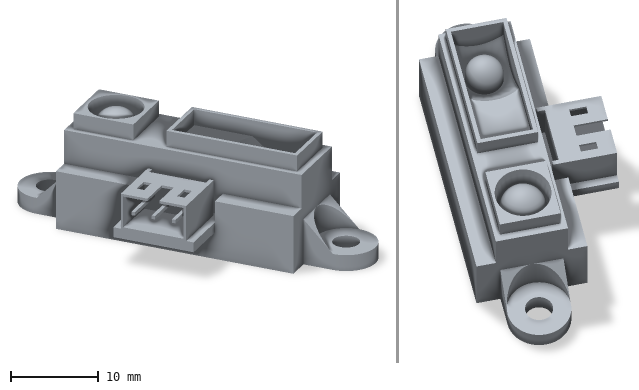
import cadquery as cq

TOTAL_LENGTH = 44.5
TOTAL_HEIGHT = 13.5
TOTAL_DEPTH = 18.9

LUG_RADIUS = 3.7
LUG_THICKNESS = 2.0
LUG_HOLE_DIAMETER = 3.2
LUG_CENTRE_X = TOTAL_LENGTH / 2 - LUG_RADIUS

BODY_LENGTH = TOTAL_LENGTH - 4 * LUG_RADIUS
BODY_DEPTH = 13.0
SHOULDER_Z = 7.25
BLOCK_DEPTH = 8.45
BLOCK_TOP_Z = 11.5

TOWER_DEPTH = 7.1
TOWER_END_X = 14.0
EMITTER_LENGTH = 7.5
RECEIVER_LENGTH = 16.38
RECEIVER_WALL = 0.5

EMITTER_X = -TOWER_END_X + EMITTER_LENGTH / 2
EMITTER_BORE_RADIUS = 3.25
EMITTER_LENS_RADIUS = 2.7
EMITTER_LENS_TIP_Z = TOTAL_HEIGHT - 0.15
EMITTER_BORE_DEPTH = TOTAL_HEIGHT - EMITTER_LENS_TIP_Z + EMITTER_LENS_RADIUS

RECEIVER_X = 9.85
RECEIVER_PIT_RADIUS = 5.35
RECEIVER_LENS_RADIUS = 2.22
RECEIVER_PIT_DEPTH = RECEIVER_PIT_RADIUS - RECEIVER_LENS_RADIUS

STEM_EMBEDMENT = 0.45

FRONT_Y = BODY_DEPTH / 2 - TOTAL_DEPTH
BLOCK_FRONT_Y = -BLOCK_DEPTH / 2
PLATE_WIDTH = 10.05
PLATE_BOTTOM_Z = 3.35
PLATE_TOP_Z = 4.6

HOUSING_WIDTH = 8.2
HOUSING_TOP_Z = 9.0
HOUSING_WALL = 0.3
HOUSING_FLOOR = 0.22
SOCKET_SIDE_TAPER = 0.15
HOUSING_LEFT_LENGTH = 7.5
HOUSING_RIGHT_LENGTH = 7.65
HOUSING_FIN = 0.55
HOUSING_BACK_LENGTH = 6.7
SOCKET_DEPTH = 5.6

PIN_PITCH = 2.55
PIN_SIZE = 0.45
PIN_Z = 6.75
WINDOW_WIDTH = 0.95
WINDOW_NEAR = 2.0
WINDOW_FAR = 4.0
SLOT_WIDTH = 1.45


def box(x_range, y_range, z_range):
    """Box between the given limits on each axis."""
    lengths = [high - low for low, high in (x_range, y_range, z_range)]
    corner = (x_range[0], y_range[0], z_range[0])
    return cq.Workplane("XY").box(*lengths, centered=False).translate(corner)


def centred(width):
    """Limits of a stretch of the given width centred on zero."""
    return (-width / 2, width / 2)


def lug():
    """Right-hand ear with a 45 degree wedge to the body, cleared by a cylinder above the ear."""
    wall_x = LUG_CENTRE_X - LUG_RADIUS
    wedge = (
        cq.Workplane("XZ")
        .moveTo(wall_x, 0)
        .lineTo(LUG_CENTRE_X, 0)
        .lineTo(LUG_CENTRE_X, LUG_THICKNESS)
        .lineTo(wall_x, LUG_THICKNESS + LUG_RADIUS)
        .close()
        .extrude(LUG_RADIUS, both=True)
    )
    centre = cq.Workplane("XY").center(LUG_CENTRE_X, 0)
    ear = centre.circle(LUG_RADIUS).extrude(LUG_THICKNESS)
    clearance = centre.workplane(offset=LUG_THICKNESS).circle(LUG_RADIUS).extrude(LUG_RADIUS)
    hole = centre.circle(LUG_HOLE_DIAMETER / 2).extrude(LUG_THICKNESS)
    return wedge.cut(clearance).union(ear).cut(hole)


def tapered_bore(x, top_z, top_radius, bottom_radius, depth):
    """Conical recess narrowing downwards from the given level."""
    cone = cq.Solid.makeCone(bottom_radius, top_radius, depth, pnt=(x, 0, top_z - depth))
    return cq.Workplane(cone)


def lens(x, radius, tip_z, foot_z):
    """Hemispherical dome on a round stem."""
    dome_z = tip_z - radius
    stem = cq.Workplane("XY", origin=(x, 0, foot_z)).circle(radius).extrude(dome_z - foot_z)
    dome = cq.Workplane("XY", origin=(x, 0, dome_z)).sphere(radius)
    return stem.union(dome)


def body():
    lower = box(centred(BODY_LENGTH), centred(BODY_DEPTH), (0, SHOULDER_Z))
    block = box(centred(BODY_LENGTH), centred(BLOCK_DEPTH), (0, BLOCK_TOP_Z))
    notch = box(centred(PLATE_WIDTH), (-BODY_DEPTH / 2, BLOCK_FRONT_Y), (PLATE_BOTTOM_Z, SHOULDER_Z))
    return lower.cut(notch).union(block)


def add_emitter(part):
    tower_x = (-TOWER_END_X, -TOWER_END_X + EMITTER_LENGTH)
    tower = box(tower_x, centred(TOWER_DEPTH), (BLOCK_TOP_Z, TOTAL_HEIGHT))
    bore = tapered_bore(
        EMITTER_X, TOTAL_HEIGHT, EMITTER_BORE_RADIUS, EMITTER_LENS_RADIUS, EMITTER_BORE_DEPTH
    )
    foot_z = TOTAL_HEIGHT - EMITTER_BORE_DEPTH - STEM_EMBEDMENT
    dome = lens(EMITTER_X, EMITTER_LENS_RADIUS, EMITTER_LENS_TIP_Z, foot_z)
    return part.union(tower).cut(bore).union(dome)


def add_receiver(part):
    start_x = TOWER_END_X - RECEIVER_LENGTH
    tower = box((start_x, TOWER_END_X), centred(TOWER_DEPTH), (BLOCK_TOP_Z, TOTAL_HEIGHT))
    inner_x = (start_x + RECEIVER_WALL, TOWER_END_X - RECEIVER_WALL)
    inner_y = centred(TOWER_DEPTH - 2 * RECEIVER_WALL)
    tray = box(inner_x, inner_y, (BLOCK_TOP_Z, TOTAL_HEIGHT))
    pit = tapered_bore(
        RECEIVER_X, BLOCK_TOP_Z, RECEIVER_PIT_RADIUS, RECEIVER_LENS_RADIUS, RECEIVER_PIT_DEPTH
    )
    pit = pit.intersect(box(inner_x, inner_y, (0, BLOCK_TOP_Z)))
    foot_z = BLOCK_TOP_Z - RECEIVER_PIT_DEPTH - STEM_EMBEDMENT
    dome = lens(RECEIVER_X, RECEIVER_LENS_RADIUS, BLOCK_TOP_Z, foot_z)
    return part.union(tower).cut(tray).cut(pit).union(dome)


def socket():
    """Opening of the housing, its side walls closing in slightly towards the back."""
    front_half = HOUSING_WIDTH / 2 - HOUSING_WALL
    back_half = front_half - SOCKET_SIDE_TAPER
    back_y = FRONT_Y + SOCKET_DEPTH
    floor_z = PLATE_TOP_Z + HOUSING_FLOOR
    outline = [(-front_half, FRONT_Y), (front_half, FRONT_Y), (back_half, back_y), (-back_half, back_y)]
    floor = cq.Workplane("XY", origin=(0, 0, floor_z))
    return floor.polyline(outline).close().extrude(HOUSING_TOP_Z - HOUSING_WALL - floor_z)


def connector():
    plate = box(centred(PLATE_WIDTH), (FRONT_Y, BLOCK_FRONT_Y), (PLATE_BOTTOM_Z, PLATE_TOP_Z))

    height = (PLATE_TOP_Z, HOUSING_TOP_Z)
    half_width = HOUSING_WIDTH / 2
    shell = box(centred(HOUSING_WIDTH), (FRONT_Y, FRONT_Y + HOUSING_BACK_LENGTH), height)
    left_x = (-half_width, -half_width + HOUSING_FIN)
    right_x = (half_width - HOUSING_FIN, half_width)
    for fin_x, length in ((left_x, HOUSING_LEFT_LENGTH), (right_x, HOUSING_RIGHT_LENGTH)):
        shell = shell.union(box(fin_x, (FRONT_Y, FRONT_Y + length), height))

    shell = shell.cut(socket())

    roof_z = (HOUSING_TOP_Z - HOUSING_WALL, HOUSING_TOP_Z)
    shell = shell.cut(box(centred(SLOT_WIDTH), (FRONT_Y, FRONT_Y + WINDOW_FAR), roof_z))
    window = box(centred(WINDOW_WIDTH), (FRONT_Y + WINDOW_NEAR, FRONT_Y + WINDOW_FAR), roof_z)
    for x in (-PIN_PITCH, PIN_PITCH):
        shell = shell.cut(window.translate((x, 0, 0)))

    pin_z = (PIN_Z - PIN_SIZE / 2, PIN_Z + PIN_SIZE / 2)
    pin = box(centred(PIN_SIZE), (FRONT_Y, FRONT_Y + SOCKET_DEPTH), pin_z)
    for x in (-PIN_PITCH, 0, PIN_PITCH):
        shell = shell.union(pin.translate((x, 0, 0)))
    return plate.union(shell)


part = body()
part = add_emitter(part)
part = add_receiver(part)
part = part.union(lug()).union(lug().mirror("YZ"))
result = part.union(connector())